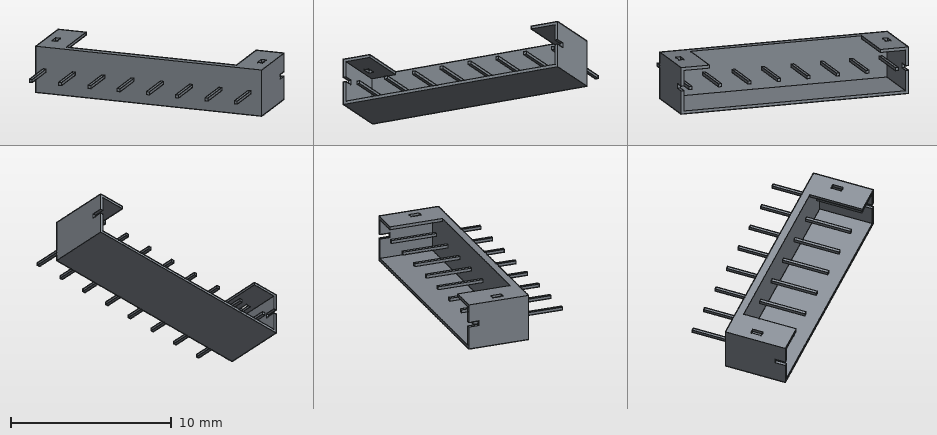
import cadquery as cq

length = 15.0
depth = 4.0
height = 3.0
shell_wall = 0.2
front_wall = 0.5

tab_width = 1.86

window_width = 0.33
window_depth = 0.69
window_end_gap = 0.51
window_back_gap = 1.82

slot_depth = 0.69
slot_height = 0.3
slot_bottom = height / 2

pin_count = 8
pin_size = 0.2
pin_first_x = 0.6
pin_last_x = 14.2
pin_pitch = (pin_last_x - pin_first_x) / (pin_count - 1)
pin_z = height / 2
pin_tail = 2.49
pin_back_gap = 0.5

inner_length = length - 2 * shell_wall
inner_depth = depth - front_wall
inner_height = height - 2 * shell_wall
roof_bottom = height - shell_wall


def block(x, y, z, size_x, size_y, size_z):
    """Box whose lowest corner is at (x, y, z)."""
    return cq.Workplane("XY").box(size_x, size_y, size_z, centered=False).translate((x, y, z))


def make_shell():
    """Box with its cavity open at the back and its roof cut away between the tabs."""
    outer = block(0, 0, 0, length, depth, height)
    cavity = block(shell_wall, front_wall, shell_wall, inner_length, inner_depth, inner_height)
    roof_opening_length = length - 2 * tab_width
    roof_opening = block(
        tab_width, front_wall, roof_bottom, roof_opening_length, inner_depth, shell_wall
    )
    return outer.cut(cavity).cut(roof_opening)


def make_slots():
    """One cutter that notches the back edges of both end walls."""
    return block(0, depth - slot_depth, slot_bottom, length, slot_depth, slot_height)


def make_window(x):
    y = depth - window_back_gap - window_depth
    return block(x, y, roof_bottom, window_width, window_depth, shell_wall)


def make_pin(index):
    x = pin_first_x + index * pin_pitch - pin_size / 2
    pin_length = pin_tail + depth - pin_back_gap
    return block(x, -pin_tail, pin_z - pin_size / 2, pin_size, pin_length, pin_size)


result = make_shell().cut(make_slots())

for window_x in (window_end_gap, length - window_end_gap - window_width):
    result = result.cut(make_window(window_x))

for pin_index in range(pin_count):
    result = result.union(make_pin(pin_index))